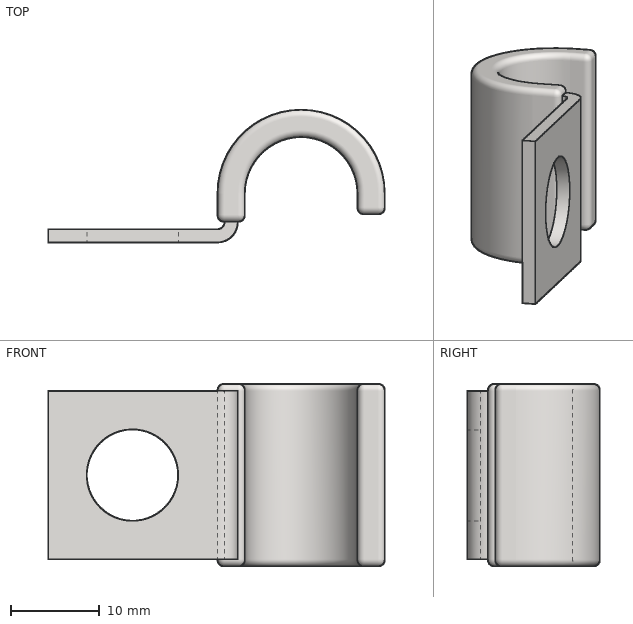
import cadquery as cq


overall_length = 38.04
overall_depth = 15.02
strap_width = 19.05
strap_thickness = 1.52
cover = 0.795
edge_radius = 0.76
tube_radius = 6.35
mounting_hole_diameter = 10.3
hole_x = strap_width / 2
anchored_leg_length = 3.22
free_leg_length = 2.38

cushion_width = strap_width + 2 * cover
cushion_thickness = strap_thickness + 2 * cover
outer_radius = tube_radius + cushion_thickness

bend_inner_radius = cover
bend_outer_radius = bend_inner_radius + strap_thickness
centre_x = overall_length - outer_radius
centre_y = overall_depth - outer_radius
leg_outer_x = centre_x - outer_radius + cover
leg_inner_x = leg_outer_x + strap_thickness
tab_length = leg_outer_x - bend_inner_radius
strap_overlap = 1.0
leg_end_y = centre_y - anchored_leg_length + strap_overlap


def make_cushion():
    """U-shaped cushion with two straight legs and all edges rounded."""
    left_outer = centre_x - outer_radius
    left_inner = centre_x - tube_radius
    right_inner = centre_x + tube_radius
    right_outer = centre_x + outer_radius
    left_end_y = centre_y - anchored_leg_length
    right_end_y = centre_y - free_leg_length
    cushion = (
        cq.Workplane("XY")
        .workplane(offset=-cushion_width / 2)
        .moveTo(left_outer, left_end_y)
        .lineTo(left_outer, centre_y)
        .threePointArc((centre_x, centre_y + outer_radius), (right_outer, centre_y))
        .lineTo(right_outer, right_end_y)
        .lineTo(right_inner, right_end_y)
        .lineTo(right_inner, centre_y)
        .threePointArc((centre_x, centre_y + tube_radius), (left_inner, centre_y))
        .lineTo(left_inner, left_end_y)
        .close()
        .extrude(cushion_width)
    )
    end_corners = cushion.faces("|Y").edges("|Z")
    rims = cushion.faces("<Z or >Z").edges()
    return end_corners.add(rims).fillet(edge_radius)


def make_strap():
    """Flat mounting tab bent up into a short leg that enters the cushion."""
    return (
        cq.Workplane("XY")
        .workplane(offset=-strap_width / 2)
        .lineTo(tab_length, 0)
        .radiusArc((leg_inner_x, bend_outer_radius), -bend_outer_radius)
        .lineTo(leg_inner_x, leg_end_y)
        .lineTo(leg_outer_x, leg_end_y)
        .lineTo(leg_outer_x, bend_outer_radius)
        .radiusArc((tab_length, strap_thickness), bend_inner_radius)
        .lineTo(0, strap_thickness)
        .close()
        .extrude(strap_width)
    )


def make_mounting_hole():
    """Through-hole cutter in the flat tab."""
    return (
        cq.Workplane("XZ")
        .center(hole_x, 0)
        .circle(mounting_hole_diameter / 2)
        .extrude(-strap_thickness)
    )


result = make_strap().cut(make_mounting_hole()).union(make_cushion())